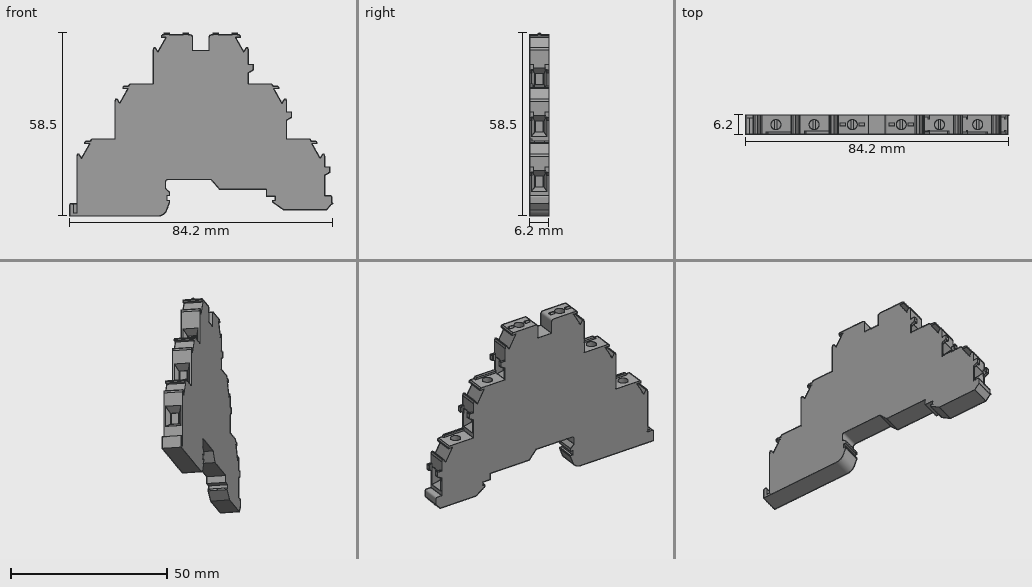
import cadquery as cq

thickness = 6.2
mid_y = thickness / 2
mirror_x = 41.9

level_pitch = 12.2
wall_x = [2.3 + level_pitch * level for level in range(3)]
lip_bottom_z = [23.15, 40.75, 57.2]
entry_top_z = [14.65, 32.25, 47.4]
strip_thickness = [0.75, 1.0]
lip_thickness = 0.8
strip_height = 0.7
strip_start = 4.3
strip_bevel = 0.5

lip_reach = 2.5
top_lip_reach = 2.6
lip_bevel = 0.4
groove_root_x = 4.1
groove_valley = (1.5, -4.6)
crest_inner = (0.7, -3.3)
crest_outer = (0.25, -3.3)
crest_shoulder_drop = 4.0

screw_offset = 7.4
screw_diameter = 3.2
screw_depth = 2.5
driver_slot_width = 0.75
driver_slot_depth = 0.75
entry_width = 5.0
entry_height = 6.7
throat_width = 3.0
throat_rise = 1.35
throat_height = 3.6
funnel_depth = 2.35
pocket_width = 2.35
pocket_depth = 0.25

post_gap_half = 2.6
post_gap_floor_z = 53.0
post_corner_radius = 0.9
peg_radius = 0.5
peg_length = 1.7
peg_offset = 3.0

ear_reach = 1.6
ear_height = 1.8
ear_slope = 0.9
ear_thickness = 0.75
ear_above_entry = 1.1
ear_hook_width = 0.4
ear_hook_reach = 0.5

label_ear_height = 4.0
label_ear_width = 1.3
label_slot_floor_z = 1.0
label_web_thickness = 1.0

seat_z = 11.7
seat_left_x = 30.65
seat_corner_radius = 0.8
heel_x = 30.3
heel_radius = 2.95
foot_bottom_z = 2.0
bridge_z = 8.6
foot_top_z = 6.6
foot_right_x = 83.9
foot_corner_radius = 0.7
foot_knee_z = 4.0
part_right_x = 84.2
tip_half_height = 0.2
tip_thickness = 0.25

step_top_z = [z + lip_thickness for z in lip_bottom_z]


def mirrored(points):
    """Points reflected to the right-hand side, in reverse order."""
    return [(2 * mirror_x - x, z) for x, z in reversed(points)]


def extrude_outline(points, y_start, y_end):
    """Plate with an XZ outline between two Y positions."""
    plane = cq.Workplane("XZ", origin=(0, y_start, 0))
    return plane.polyline(points).close().extrude(y_start - y_end)


def box(x, y, z):
    """Box spanning the given (low, high) ranges."""
    size = [high - low for low, high in (x, y, z)]
    return cq.Workplane("XY").box(*size, centered=False).translate((x[0], y[0], z[0]))


def step_points(level):
    """Left outline of one level, from the wall up to the step top."""
    wall = wall_x[level]
    lip_z = lip_bottom_z[level]
    top_z = step_top_z[level]
    lip_x = wall + (top_lip_reach if level == 2 else lip_reach)
    return [
        (wall, lip_z - crest_shoulder_drop),
        (wall + crest_outer[0], lip_z + crest_outer[1]),
        (wall + crest_inner[0], lip_z + crest_inner[1]),
        (wall + groove_valley[0], lip_z + groove_valley[1]),
        (wall + groove_root_x, lip_z),
        (lip_x, lip_z),
        (lip_x, top_z - lip_bevel),
        (lip_x + lip_bevel, top_z),
    ]


def left_stair():
    """Left outline from the lowest wall to the floor of the central gap."""
    points = []
    for level in range(3):
        if level > 0:
            points.append((wall_x[level], step_top_z[level - 1]))
        points += step_points(level)
    gap_x = mirror_x - post_gap_half
    return points + [(gap_x, step_top_z[2]), (gap_x, post_gap_floor_z)]


def round_edge(solid, x, z, radius):
    """Round the edge along Y that passes through (x, z)."""
    margin = 0.04
    corner = cq.selectors.BoxSelector(
        (x - margin, -margin, z - margin),
        (x + margin, thickness + margin, z + margin),
    )
    return solid.edges(corner).fillet(radius)


def body():
    """Full-thickness plate with the stepped outline and the rail seat."""
    left = left_stair()
    label_base = [
        (0, 0),
        (0, label_slot_floor_z),
        (wall_x[0], label_slot_floor_z),
    ]
    right_foot = [
        (2 * mirror_x - wall_x[0], foot_top_z),
        (foot_right_x, foot_top_z),
        (foot_right_x, foot_knee_z),
        (82.2, foot_bottom_z),
        (68.4, foot_bottom_z),
        (64.9, 4.5),
        (64.9, 5.05),
        (65.7, 5.05),
        (65.7, 6.3),
        (62.9, 6.3),
        (62.9, bridge_z),
        (47.9, bridge_z),
        (45.2, seat_z),
    ]
    left_foot = [
        (seat_left_x, seat_z),
        (seat_left_x, 8.8),
        (32.0, 7.6),
        (32.0, 6.6),
        (31.15, 6.6),
        (31.15, 5.05),
        (32.0, 5.05),
        (32.0, 4.55),
        (heel_x, 0),
    ]
    outline = label_base + left + mirrored(left) + right_foot + left_foot
    block = extrude_outline(outline, 0, thickness)

    for side in (-1, 1):
        post_x = mirror_x + side * post_gap_half
        block = round_edge(block, post_x, step_top_z[2], post_corner_radius)
    block = round_edge(block, seat_left_x, seat_z, seat_corner_radius)
    block = round_edge(block, heel_x, 0, heel_radius)
    return round_edge(block, foot_right_x, foot_top_z, foot_corner_radius)


def label_ear():
    """Upright ear with a fully rounded top."""
    shoulder_z = label_ear_height - label_ear_width / 2
    return (
        cq.Workplane("XZ")
        .lineTo(0, shoulder_z)
        .threePointArc((label_ear_width / 2, label_ear_height), (label_ear_width, shoulder_z))
        .lineTo(label_ear_width, 0)
        .close()
        .extrude(-thickness)
    )


def label_web():
    """Thin web closing the label slot at the back."""
    return box(
        (label_ear_width / 2, wall_x[0]),
        (thickness - label_web_thickness, thickness),
        (label_slot_floor_z, label_ear_height),
    )


def edge_strip(level):
    """Raised strip along the front edge of a lower step, on the left."""
    start_x = wall_x[level] + strip_start
    end_x = wall_x[level + 1]
    low_z = step_top_z[level]
    high_z = low_z + strip_height
    points = [
        (start_x, low_z),
        (start_x + strip_bevel, high_z),
        (end_x, high_z),
        (end_x, low_z),
    ]
    return extrude_outline(points, 0, strip_thickness[level])


def wall_ears(level):
    """Pair of hooked ears flanking the wire entry of a right-hand wall."""
    wall = 2 * mirror_x - wall_x[level]
    tip_x = wall + ear_reach
    top_z = entry_top_z[level] + ear_above_entry
    tip_low_z = top_z - ear_height
    front = extrude_outline(
        [(wall, top_z), (tip_x, top_z), (tip_x, tip_low_z), (wall, tip_low_z - ear_slope)],
        0,
        ear_thickness,
    )
    hook = box(
        (tip_x - ear_hook_width, tip_x),
        (0, ear_thickness + ear_hook_reach),
        (tip_low_z, top_z),
    )
    front = front.union(hook)
    back = front.mirror("XZ").translate((0, thickness, 0))
    return front.union(back)


def foot_tip():
    """Small pointed tip at the back of the right foot."""
    points = [
        (foot_right_x, foot_knee_z + tip_half_height),
        (part_right_x, foot_knee_z),
        (foot_right_x, foot_knee_z - tip_half_height),
    ]
    return extrude_outline(points, thickness - tip_thickness, thickness)


def screw_well(level):
    """Round well with a driver slot in its floor, on the left."""
    x = wall_x[level] + screw_offset
    floor_z = step_top_z[level] - screw_depth
    open_height = screw_depth + strip_height
    well = (
        cq.Workplane("XY", origin=(x, mid_y, floor_z))
        .circle(screw_diameter / 2)
        .extrude(open_height)
    )
    screw_head = (
        cq.Workplane("XY", origin=(x, mid_y, floor_z))
        .circle(screw_diameter / 2)
        .extrude(-driver_slot_depth)
    )
    slot_bar = box(
        (x - driver_slot_width / 2, x + driver_slot_width / 2),
        (0, thickness),
        (floor_z - driver_slot_depth, floor_z),
    )
    return well.union(screw_head.intersect(slot_bar))


def wire_funnel(level):
    """Tapered wire entry with a narrower blind pocket, on the left."""
    floor_z = entry_top_z[level] - entry_height
    entry_mid_z = floor_z + entry_height / 2
    throat_mid_z = floor_z + throat_rise + throat_height / 2
    funnel = (
        cq.Workplane("YZ", origin=(wall_x[level], 0, 0))
        .center(mid_y, entry_mid_z)
        .rect(entry_width, entry_height)
        .workplane(offset=funnel_depth)
        .center(0, throat_mid_z - entry_mid_z)
        .rect(throat_width, throat_height)
        .loft(ruled=True)
    )
    pocket = (
        cq.Workplane("YZ", origin=(wall_x[level] + funnel_depth, mid_y, throat_mid_z))
        .rect(pocket_width, throat_height)
        .extrude(pocket_depth)
    )
    return funnel.union(pocket)


def pegs():
    """Half-round marker pegs on both sides of the left top screw."""
    screw_x = wall_x[2] + screw_offset
    both = cq.Workplane("XY")
    for side in (-1, 1):
        start_x = screw_x + side * peg_offset - peg_length / 2
        both = both.union(
            cq.Workplane("YZ", origin=(start_x, mid_y, step_top_z[2]))
            .circle(peg_radius)
            .extrude(peg_length)
        )
    return both


def both_sides(shape):
    """A left-hand feature together with its right-hand mirror image."""
    return shape.union(shape.mirror("YZ", (mirror_x, 0, 0)))


result = body().union(label_ear()).union(label_web())
result = result.union(foot_tip()).union(both_sides(pegs()))
for level in range(len(strip_thickness)):
    result = result.union(both_sides(edge_strip(level)))
for level in range(3):
    result = result.union(wall_ears(level))
for level in range(3):
    result = result.cut(both_sides(screw_well(level)))
    result = result.cut(both_sides(wire_funnel(level)))